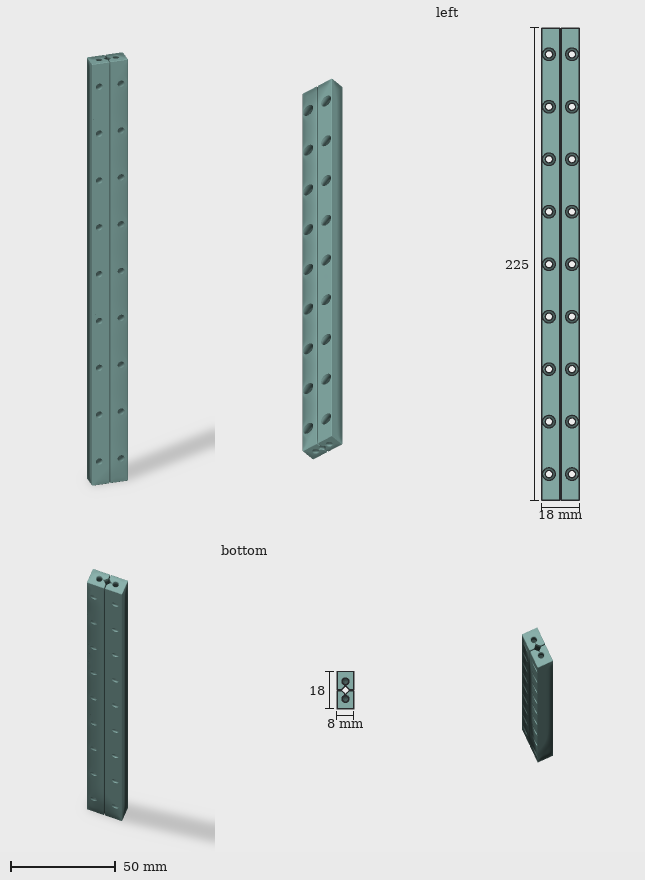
import cadquery as cq
import math

LENGTH = 225.0
PAIR_WIDTH = 18.0
THICKNESS = 8.0

RAIL_GAP = 0.5
GROOVE_APEX = 2.0
RELIEF_WIDTH = 0.5
RELIEF_FLOOR = 2.2
EDGE_CHAMFER = 0.2
RAIL_WIDTH = (PAIR_WIDTH - RAIL_GAP) / 2
INNER_FACE = RAIL_GAP / 2
GROOVE_DEPTH = GROOVE_APEX - INNER_FACE

HOLE_COUNT = 9
HOLE_PITCH = LENGTH / HOLE_COUNT
HOLE_DIAMETER = 3.4
COUNTERBORE_DIAMETER = 6.0
COUNTERBORE_DEPTH = 3.2
COUNTERBORE_WALL = 0.5
HOLE_ROW_Y = PAIR_WIDTH / 2 - COUNTERBORE_WALL - COUNTERBORE_DIAMETER / 2

END_HOLE_SPACING = 8.3
END_HOLE_DIAMETER = 3.0
END_COUNTERSINK_DIAMETER = 3.4
END_COUNTERSINK_DEPTH = (END_COUNTERSINK_DIAMETER - END_HOLE_DIAMETER) / 2
END_HOLE_DEPTH = 6.0
DRILL_POINT_ANGLE = 118.0
DRILL_POINT_DEPTH = END_HOLE_DIAMETER / 2 / math.tan(math.radians(DRILL_POINT_ANGLE / 2))


def rail_blank(side):
    """Rectangular bar with chamfered edges, on the +Y (side=1) or -Y (side=-1) side."""
    centre_y = side * (INNER_FACE + RAIL_WIDTH / 2)
    bar = cq.Workplane("XY").box(THICKNESS, RAIL_WIDTH, LENGTH).edges().chamfer(EDGE_CHAMFER)
    return bar.translate((0, centre_y, 0))


def roller_groove(side):
    """90 degree V-groove along the inner face, with a narrow relief slot at its root."""
    mouth_y = side * INNER_FACE
    half_relief = RELIEF_WIDTH / 2
    relief_mouth_y = side * (GROOVE_APEX - half_relief)
    relief_floor_y = side * RELIEF_FLOOR
    return (
        cq.Workplane("XY")
        .workplane(offset=-LENGTH / 2)
        .moveTo(-GROOVE_DEPTH, mouth_y)
        .lineTo(-half_relief, relief_mouth_y)
        .lineTo(-half_relief, relief_floor_y)
        .lineTo(half_relief, relief_floor_y)
        .lineTo(half_relief, relief_mouth_y)
        .lineTo(GROOVE_DEPTH, mouth_y)
        .close()
        .extrude(LENGTH)
    )


def mounting_holes(side):
    """Row of through holes, counterbored from the -X face."""
    row = (
        cq.Workplane("YZ", origin=(-THICKNESS / 2, side * HOLE_ROW_Y, 0))
        .rarray(2.2, HOLE_PITCH, 1, HOLE_COUNT)
    )
    through_holes = row.circle(HOLE_DIAMETER / 2).extrude(THICKNESS)
    counterbores = row.circle(COUNTERBORE_DIAMETER / 2).extrude(COUNTERBORE_DEPTH)
    return through_holes.union(counterbores)


def end_holes(side):
    """Countersunk blind hole with a conical drill point in each end of the rail."""
    half_length = LENGTH / 2
    wall_end_z = half_length - END_HOLE_DEPTH
    top_hole = (
        cq.Workplane("XZ")
        .moveTo(0, half_length)
        .lineTo(END_COUNTERSINK_DIAMETER / 2, half_length)
        .lineTo(END_HOLE_DIAMETER / 2, half_length - END_COUNTERSINK_DEPTH)
        .lineTo(END_HOLE_DIAMETER / 2, wall_end_z)
        .lineTo(0, wall_end_z - DRILL_POINT_DEPTH)
        .close()
        .revolve(360, (0, 0), (0, 1))
        .translate((0, side * END_HOLE_SPACING / 2, 0))
    )
    return top_hole.union(top_hole.mirror("XY"))


def rail(side):
    """One complete rail of the pair."""
    return (
        rail_blank(side)
        .cut(roller_groove(side))
        .cut(mounting_holes(side))
        .cut(end_holes(side))
    )


rails = [rail(side) for side in (1, -1)]

result = cq.Compound.makeCompound([body.val() for body in rails])